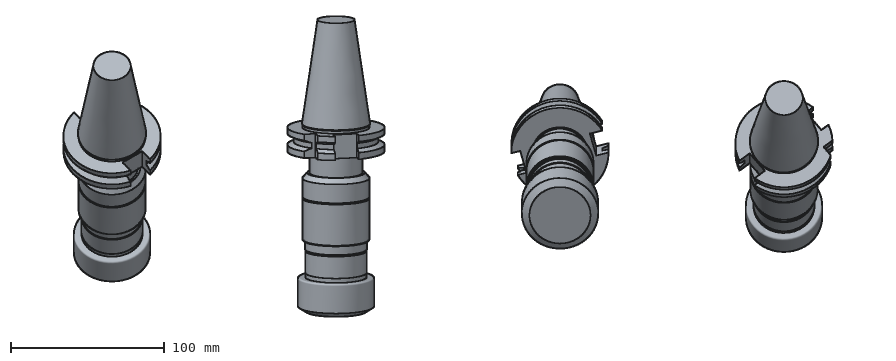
import cadquery as cq

total_height = 193.5
flange_top = 122.1
flange_bottom = 106.3
collar_top = 92.0
collar_bottom = 47.0
nut_top = 22.6

taper_top_diameter = 24.4
taper_base_diameter = 44.7
taper_base = 124.6
pilot_diameter = 44.0
pilot_step = 0.8

flange_diameter = 63.5
groove_diameter = 55.4
groove_middle = 114.4
groove_floor_width = 3.5
groove_mouth_width = 7.4

slot_width = 15.9
left_slot_floor = 24.8
right_slot_floor = 22.3
notch_x = 18.4
notch_y = 18.4

neck_diameter = 34.6
neck_chamfer = 0.8
collar_diameter = 44.0
collar_top_diameter = 37.5
collar_chamfer_height = 3.5
joint_middle = 75.5
joint_width = 1.0
joint_depth = 0.2
collar_edge = 0.8

body_diameter = 40.5
lower_body_diameter = 40.3
body_end_diameter = 40.0
body_end_top = 25.5
undercut_diameter = 33.9
undercut_top = 41.2
undercut_bottom = 40.0

nut_diameter = 50.0
nut_face_diameter = 39.9
nut_face_chamfer_height = 3.3
nut_top_fillet = 1.2


def cone(bottom, top, bottom_diameter, top_diameter):
    """Solid round section between two heights, tapering linearly."""
    return (
        cq.Workplane("XZ")
        .moveTo(0, bottom)
        .lineTo(bottom_diameter / 2, bottom)
        .lineTo(top_diameter / 2, top)
        .lineTo(0, top)
        .close()
        .revolve(360, (0, 0, 0), (0, 1, 0))
    )


def cylinder(bottom, top, diameter):
    return cone(bottom, top, diameter, diameter)


def make_taper():
    step_bottom = taper_base - pilot_step
    pilot = cylinder(flange_top, step_bottom, pilot_diameter)
    step = cone(step_bottom, taper_base, pilot_diameter, taper_base_diameter)
    taper = cone(taper_base, total_height, taper_base_diameter, taper_top_diameter)
    return pilot.union(step).union(taper)


def make_flange():
    mouth_low = groove_middle - groove_mouth_width / 2
    mouth_high = groove_middle + groove_mouth_width / 2
    floor_low = groove_middle - groove_floor_width / 2
    floor_high = groove_middle + groove_floor_width / 2
    flange = (
        cylinder(flange_bottom, mouth_low, flange_diameter)
        .union(cone(mouth_low, floor_low, flange_diameter, groove_diameter))
        .union(cylinder(floor_low, floor_high, groove_diameter))
        .union(cone(floor_high, mouth_high, groove_diameter, flange_diameter))
        .union(cylinder(mouth_high, flange_top, flange_diameter))
    )

    thickness = flange_top - flange_bottom
    base = cq.Workplane("XY").workplane(offset=flange_bottom)
    left_slot = base.center(-left_slot_floor, 0).box(
        flange_diameter, slot_width, thickness, centered=(False, True, False)
    ).translate((-flange_diameter, 0, 0))
    right_slot = base.center(right_slot_floor, 0).box(
        flange_diameter, slot_width, thickness, centered=(False, True, False)
    )
    notch = base.center(-notch_x, notch_y).box(
        flange_diameter, flange_diameter, thickness, centered=False
    ).translate((-flange_diameter, 0, 0))
    return flange.cut(left_slot).cut(right_slot).cut(notch)


def make_neck():
    chamfer_bottom = flange_bottom - neck_chamfer
    neck = cylinder(collar_top, chamfer_bottom, neck_diameter)
    chamfer = cone(chamfer_bottom, flange_bottom, neck_diameter, neck_diameter + 2 * neck_chamfer)
    return neck.union(chamfer)


def make_collar():
    shoulder = collar_top - collar_chamfer_height
    joint_low = joint_middle - joint_width / 2
    joint_high = joint_middle + joint_width / 2
    edge_top = collar_bottom + collar_edge
    return (
        cone(shoulder, collar_top, collar_diameter, collar_top_diameter)
        .union(cylinder(joint_high, shoulder, collar_diameter))
        .union(cylinder(joint_low, joint_high, collar_diameter - 2 * joint_depth))
        .union(cylinder(edge_top, joint_low, collar_diameter))
        .union(cone(collar_bottom, edge_top, collar_diameter - 2 * collar_edge, collar_diameter))
    )


def make_body():
    return (
        cylinder(undercut_top, collar_bottom, body_diameter)
        .union(cylinder(undercut_bottom, undercut_top, undercut_diameter))
        .union(cylinder(body_end_top, undercut_bottom, lower_body_diameter))
        .union(cylinder(nut_top, body_end_top, body_end_diameter))
    )


def make_nut():
    rim = cylinder(nut_face_chamfer_height, nut_top, nut_diameter)
    rim = rim.faces(">Z").edges().fillet(nut_top_fillet)
    face = cone(0, nut_face_chamfer_height, nut_face_diameter, nut_diameter)
    return face.union(rim)


result = (
    make_nut()
    .union(make_body())
    .union(make_collar())
    .union(make_neck())
    .union(make_flange())
    .union(make_taper())
)